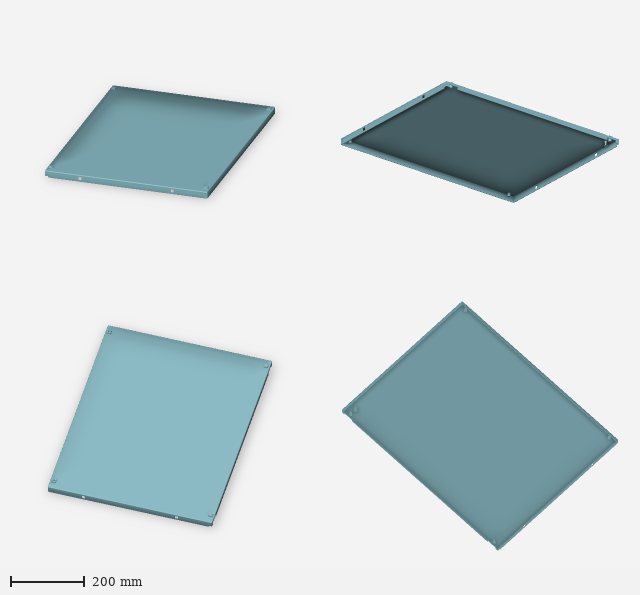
import cadquery as cq

tray_x = 465.0
tray_y = 598.0
tray_height = 19.5
total_height = 23.5
sheet = 1.5
bend_radius = 2.5

half_x = tray_x / 2
half_y = tray_y / 2
sheet_underside = tray_height - sheet

short_flange_bottom = 4.0
step_length = 9.5

relief_x = 1.0
relief_y = 2.5

cutout_top = 11.5
cutout_length = 30.0
cutout_end_inset = 10.0

window_size = 9.0
window_x = 131.0
window_z = 9.5

plug_inset_x = 10.5
plug_inset_y = 24.2
plug_bottom = 8.5
shank_radius = 4.5
head_draft = 16.0
plain_head_size = 11.5
socket_head_size = 13.0
socket_size = 6.0
socket_draft = 15.0

stud_inset_x = 31.0
stud_inset_y = 22.5
stud_radius = 2.0
stud_bottom = 3.6
base_ring_radius = 4.0
base_ring_thickness = 4.0
end_disc_radius = 5.0
end_disc_thickness = 1.0


def block(x_range, y_range, z_range):
    """Box between two limits on each axis, given in either order."""
    (x0, x1), (y0, y1), (z0, z1) = (sorted(limits) for limits in (x_range, y_range, z_range))
    corner = (x0, y0, z0)
    return cq.Workplane("XY", origin=corner).box(x1 - x0, y1 - y0, z1 - z0, centered=False)


def cylinder(center, radius, bottom, top):
    return cq.Workplane("XY", origin=(*center, bottom)).circle(radius).extrude(top - bottom)


def make_shell():
    """Sheet with four bent-down flanges, open at the bottom."""
    outer = block((-half_x, half_x), (-half_y, half_y), (0, tray_height))
    inner_x = half_x - sheet
    inner_y = half_y - sheet
    inner = block((-inner_x, inner_x), (-inner_y, inner_y), (0, sheet_underside))
    return outer.edges(">Z").fillet(bend_radius).cut(inner.edges(">Z").fillet(bend_radius - sheet))


def make_tray():
    tray = make_shell()

    step_end = -half_x + step_length
    tray = tray.cut(block((-half_x, step_end), (-half_y, half_y), (0, short_flange_bottom)))

    for side_y in (-1, 1):
        cutout_start = side_y * (half_y - cutout_end_inset)
        cutout_end = cutout_start - side_y * cutout_length
        flange_x = (-half_x, -half_x + sheet)
        tray = tray.cut(block(flange_x, (cutout_start, cutout_end), (0, cutout_top)))

    for window_center in (-window_x, window_x):
        window = cq.Workplane("XZ", origin=(window_center, 0, window_z)).rect(window_size, window_size)
        tray = tray.cut(window.extrude(half_y, both=True))

    for side_x in (-1, 1):
        for side_y in (-1, 1):
            relief_xs = (side_x * half_x, side_x * (half_x - relief_x))
            relief_ys = (side_y * half_y, side_y * (half_y - relief_y))
            tray = tray.cut(block(relief_xs, relief_ys, (0, tray_height)))
            hole = cylinder(plug_center(side_x, side_y), shank_radius, sheet_underside, tray_height)
            tray = tray.cut(hole)
    return tray


def plug_center(side_x, side_y):
    return (side_x * (half_x - plug_inset_x), side_y * (half_y - plug_inset_y))


def make_plain_plug(center, head_size):
    """Round shank below a square head whose sides slope inward."""
    head = cq.Workplane("XY", origin=(*center, tray_height)).rect(head_size, head_size)
    head = head.extrude(total_height - tray_height, taper=head_draft)
    return head.union(cylinder(center, shank_radius, plug_bottom, tray_height))


def make_socket_plug(center):
    """Plug with a tapered square socket sunk into its head."""
    socket = cq.Workplane("XY", origin=(*center, total_height)).rect(socket_size, socket_size)
    depth = total_height - tray_height
    return make_plain_plug(center, socket_head_size).cut(socket.extrude(-depth, taper=socket_draft))


stud_center = (-half_x + stud_inset_x, -half_y + stud_inset_y)


def make_stud():
    return cylinder(stud_center, stud_radius, stud_bottom, sheet_underside)


def make_ring(radius, bottom, top):
    return cylinder(stud_center, radius, bottom, top).cut(make_stud())


tray = make_tray()
plain_plugs = [make_plain_plug(plug_center(-1, side_y), plain_head_size) for side_y in (-1, 1)]
socket_plugs = [make_socket_plug(plug_center(1, side_y)) for side_y in (-1, 1)]
stud = make_stud()
base_ring = make_ring(base_ring_radius, sheet_underside - base_ring_thickness, sheet_underside)
end_disc = make_ring(end_disc_radius, stud_bottom, stud_bottom + end_disc_thickness)

bodies = [tray, *plain_plugs, *socket_plugs, stud, base_ring, end_disc]
result = cq.Compound.makeCompound([body.val() for body in bodies])